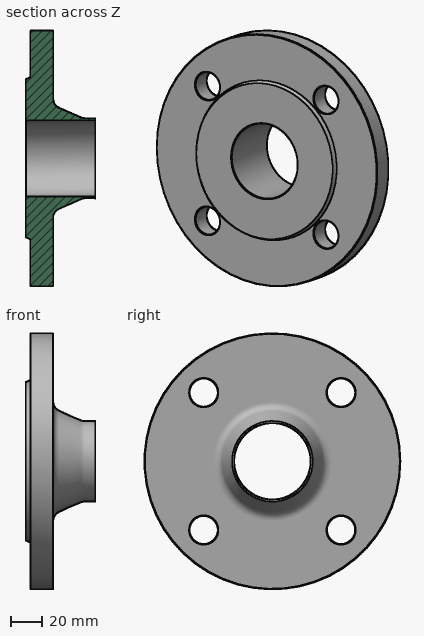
import cadquery as cq
import math

total_length = 45.0
flange_diameter = 165.0
flange_thickness = 15.0
edge_chamfer = 0.5

face_height = 3.0
face_diameter = 102.0
face_base_diameter = 104.6

bore_diameter = 49.0
pipe_diameter = 52.0
pipe_length = 8.2
hub_base_diameter = 68.5
neck_fillet = 6.0

bolt_hole_diameter = 18.0
bolt_circle_diameter = 125.0
bolt_count = 4

face_x = -total_length / 2
flange_front_x = face_x + face_height
flange_back_x = flange_front_x + flange_thickness
weld_end_x = total_length / 2
cone_end_x = weld_end_x - pipe_length


def revolve_about_x(sketch):
    """Turn a closed (x, radius) profile around the X axis."""
    return sketch.close().revolve(360, (0, 0, 0), (1, 0, 0))


def flange_disc():
    disc = (
        cq.Workplane("YZ", origin=(flange_front_x, 0, 0))
        .circle(flange_diameter / 2)
        .extrude(flange_thickness)
    )
    return disc.edges().chamfer(edge_chamfer)


def raised_face():
    return revolve_about_x(
        cq.Workplane("XY")
        .moveTo(face_x, 0)
        .lineTo(face_x, face_diameter / 2)
        .lineTo(flange_front_x, face_base_diameter / 2)
        .lineTo(flange_front_x, 0)
    )


def neck():
    """Conical hub with tangent arcs into the flange back and the pipe end."""
    hub_radius = hub_base_diameter / 2
    pipe_radius = pipe_diameter / 2
    cone_angle = math.atan2(hub_radius - pipe_radius, cone_end_x - flange_back_x)
    sin_cone = math.sin(cone_angle)
    cos_cone = math.cos(cone_angle)

    root_x = flange_back_x + neck_fillet
    root_radius = hub_radius - neck_fillet * math.tan(cone_angle) + neck_fillet / cos_cone
    end_x = cone_end_x + neck_fillet * math.tan(cone_angle / 2)
    end_radius = pipe_radius + neck_fillet

    def on_arc(centre_x, centre_radius, angle):
        """Arc point at an angle measured from the inward radial direction."""
        return (
            centre_x - neck_fillet * math.sin(angle),
            centre_radius - neck_fillet * math.cos(angle),
        )

    root_mid_angle = (math.pi / 2 + cone_angle) / 2
    cone_start = (root_x - neck_fillet * sin_cone, root_radius - neck_fillet * cos_cone)
    return revolve_about_x(
        cq.Workplane("XY")
        .moveTo(flange_back_x, 0)
        .lineTo(flange_back_x, root_radius)
        .threePointArc(on_arc(root_x, root_radius, root_mid_angle), cone_start)
        .lineTo(*on_arc(end_x, end_radius, cone_angle))
        .threePointArc(on_arc(end_x, end_radius, cone_angle / 2), (end_x, pipe_radius))
        .lineTo(weld_end_x, pipe_radius)
        .lineTo(weld_end_x, 0)
    )


def bore():
    """Through bore, chamfered at the sealing face."""
    bore_radius = bore_diameter / 2
    return revolve_about_x(
        cq.Workplane("XY")
        .moveTo(face_x, 0)
        .lineTo(face_x, bore_radius + edge_chamfer)
        .lineTo(face_x + edge_chamfer, bore_radius)
        .lineTo(weld_end_x, bore_radius)
        .lineTo(weld_end_x, 0)
    )


def bolt_holes():
    """Through holes on the diagonals, chamfered at both flange faces."""
    hole_radius = bolt_hole_diameter / 2
    cutter = revolve_about_x(
        cq.Workplane("XY")
        .moveTo(flange_front_x, 0)
        .lineTo(flange_front_x, hole_radius + edge_chamfer)
        .lineTo(flange_front_x + edge_chamfer, hole_radius)
        .lineTo(flange_back_x - edge_chamfer, hole_radius)
        .lineTo(flange_back_x, hole_radius + edge_chamfer)
        .lineTo(flange_back_x, 0)
    ).translate((0, 0, bolt_circle_diameter / 2))
    pitch = 360 / bolt_count
    holes = cq.Workplane("XY")
    for index in range(bolt_count):
        angle = pitch * (index + 0.5)
        holes = holes.add(cutter.rotate((0, 0, 0), (1, 0, 0), angle))
    return holes.combine()


result = flange_disc().union(raised_face()).union(neck())
result = result.cut(bore()).cut(bolt_holes())